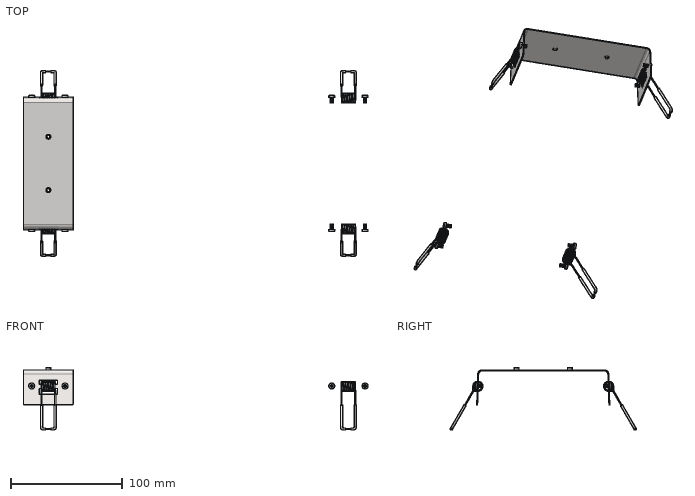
import cadquery as cq
import math

bracket_width = 45.0
bracket_length = 120.0
bracket_height = 31.5
sheet = 1.0
flange_splay = 2.0
bend_radius = 4.0
flange_corner_radius = 1.2
splay_slope = math.tan(math.radians(flange_splay))

collar_diameter = 4.5
collar_bore = 2.5
collar_height = 2.0
collar_spacing = 48.0

fitting_z = -14.8
flange_outer_y = bracket_length / 2 - (bracket_height + fitting_z) * splay_slope

window_width = 16.0
window_height = 12.4
window_top_z = -9.5
prong_height = 4.0
prong_length = 5.0

screw_spacing = 30.0
screw_z = -14.5
head_diameter = 5.5
head_height = 2.0
shank_diameter = 3.0
shank_length = 5.0
head_rounding = 0.8
recess_length = 2.6
recess_width = 0.7
recess_depth = 1.0
thread_pitch = 0.5
thread_depth = 0.25

wire_diameter = 1.1
coil_radius = 4.0
coil_y = -(flange_outer_y - sheet / 2)
coil_turns = 10.75
leg_spacing = 12.3
wire_bend_radius = 1.8
sleeve_diameter = 2.2
sleeve_length = 24.6
sleeve_gap = 4.8

overall_length = 167.59
overall_height = 56.29
loose_set_offset = 270.0


def in_both_flanges(shape):
    return shape.union(shape.mirror("XZ"))


def make_sheet():
    """Plate folded down into a flange at each end."""

    def trapezoid(bottom_half, top_z):
        top_half = bottom_half - (bracket_height + top_z) * splay_slope
        profile = [
            (-bottom_half, -bracket_height),
            (bottom_half, -bracket_height),
            (top_half, top_z),
            (-top_half, top_z),
        ]
        return cq.Workplane("YZ").polyline(profile).close().extrude(bracket_width / 2, both=True)

    outer_half = bracket_length / 2
    outside = trapezoid(outer_half, 0).edges("|X and >Z").fillet(bend_radius)
    inside = trapezoid(outer_half - sheet, -sheet).edges("|X and >Z").fillet(bend_radius - sheet)
    folded = outside.cut(inside)
    lower_corners = cq.selectors.BoxSelector(
        (-bracket_width, -bracket_length, -bracket_height - sheet),
        (bracket_width, bracket_length, -bracket_height + sheet),
    )
    return folded.edges(lower_corners).edges("#X and #Z").fillet(flange_corner_radius)


def make_window_cutter():
    depth = 4 * sheet
    window = cq.Workplane("XY").box(window_width, depth, window_height, centered=(True, True, False))
    window = window.translate((0, 0, window_top_z - window_height))
    for side in (-1, 1):
        prong_x = side * (window_width - prong_length) / 2
        prong = cq.Workplane("XY").box(prong_length, depth, prong_height)
        window = window.cut(prong.translate((prong_x, 0, fitting_z)))
    return window.translate((0, coil_y, 0))


def make_screw():
    """Screw in the near flange, its head facing -Y."""
    head = cq.Workplane("XZ").circle(head_diameter / 2).extrude(head_height)
    head = head.faces("<Y").edges().fillet(head_rounding)
    recess_plane = cq.Workplane("XZ", origin=(0, recess_depth - head_height, 0))
    for length, width in ((recess_length, recess_width), (recess_width, recess_length)):
        head = head.cut(recess_plane.rect(length, width).extrude(recess_depth))

    crest = shank_diameter / 2
    section = cq.Workplane("XY").lineTo(crest, 0)
    for groove in range(round(shank_length / thread_pitch)):
        start = groove * thread_pitch
        section = section.lineTo(crest - thread_depth, start + thread_pitch / 2)
        section = section.lineTo(crest, start + thread_pitch)
    shank = section.lineTo(0, shank_length).close().revolve(360, (0, 0, 0), (0, 1, 0))
    return head.union(shank).translate((0, -flange_outer_y, screw_z))


def make_bracket():
    """Folded sheet with its collars and the four screws fixed in its flanges."""
    bracket = make_sheet().cut(in_both_flanges(make_window_cutter()))
    collar_places = [(0, -collar_spacing / 2), (0, collar_spacing / 2)]
    underside = cq.Workplane("XY", origin=(0, 0, -sheet)).pushPoints(collar_places)
    bracket = bracket.union(underside.circle(collar_diameter / 2).extrude(sheet + collar_height))
    bracket = bracket.cut(underside.circle(collar_bore / 2).extrude(sheet + collar_height))
    for side in (-1, 1):
        screw = make_screw().translate((side * screw_spacing / 2, 0, 0))
        bracket = bracket.union(in_both_flanges(screw))
    return bracket


def sweep_round(path, diameter):
    start = path.startPoint()
    section = cq.Workplane(cq.Plane(origin=start, normal=path.tangentAt(0)))
    return section.circle(diameter / 2).sweep(cq.Workplane(path))


def make_coil():
    """Coil from the outermost point of its left end to the lowest point of its right end."""
    helix = cq.Wire.makeHelix(leg_spacing / coil_turns, leg_spacing, coil_radius, lefthand=True)
    section = cq.Workplane("XZ", origin=(coil_radius, 0, 0)).circle(wire_diameter / 2)
    coil = section.sweep(cq.Workplane(helix), isFrenet=True)
    coil_frame = cq.Plane(
        origin=(-leg_spacing / 2, coil_y, fitting_z),
        xDir=(0, -1, 0),
        normal=(1, 0, 0),
    )
    return cq.Workplane(coil.val().moved(cq.Location(coil_frame)))


def make_spring():
    """Spring of the near flange."""
    half = leg_spacing / 2
    knee = cq.Vector(0, coil_y - coil_radius, fitting_z - coil_radius)
    loop_end = cq.Vector(
        0,
        -(overall_length - sleeve_diameter) / 2,
        collar_height - overall_height + sleeve_diameter / 2,
    )
    up_leg = (knee - loop_end).normalized()
    right = cq.Vector(half, 0, 0)
    bottom_exit = cq.Vector(half, coil_y, fitting_z - coil_radius)
    outer_exit = cq.Vector(-half, coil_y - coil_radius, fitting_z)

    corners = [bottom_exit, knee + right, loop_end + right, loop_end - right, knee - right, outer_exit]
    loop_path = cq.Wire.makePolygon(corners).fillet(wire_bend_radius)
    spring = sweep_round(loop_path, wire_diameter)
    spring = spring.union(make_coil())
    for joint in (bottom_exit, outer_exit):
        spring = spring.union(cq.Workplane("XY").sphere(wire_diameter / 2).translate(joint))

    for side in (-1, 1):
        shift = right * side
        sleeve_ends = [
            loop_end + shift + up_leg * sleeve_length,
            loop_end + shift,
            loop_end + shift * (sleeve_gap / leg_spacing),
        ]
        sleeve_path = cq.Wire.makePolygon(sleeve_ends).fillet(wire_bend_radius)
        spring = spring.union(sweep_round(sleeve_path, sleeve_diameter))
    return spring


def at_both_ends(shape):
    return [shape.val(), shape.mirror("XZ").val()]


bracket = make_bracket()
spring = make_spring()
springs = []
for offset in (0, loose_set_offset):
    springs += at_both_ends(spring.translate((offset, 0, 0)))
loose_screws = []
for side in (-1, 1):
    screw_x = loose_set_offset + side * screw_spacing / 2
    loose_screws += at_both_ends(make_screw().translate((screw_x, 0, 0)))

result = cq.Compound.makeCompound([bracket.val(), *springs, *loose_screws])